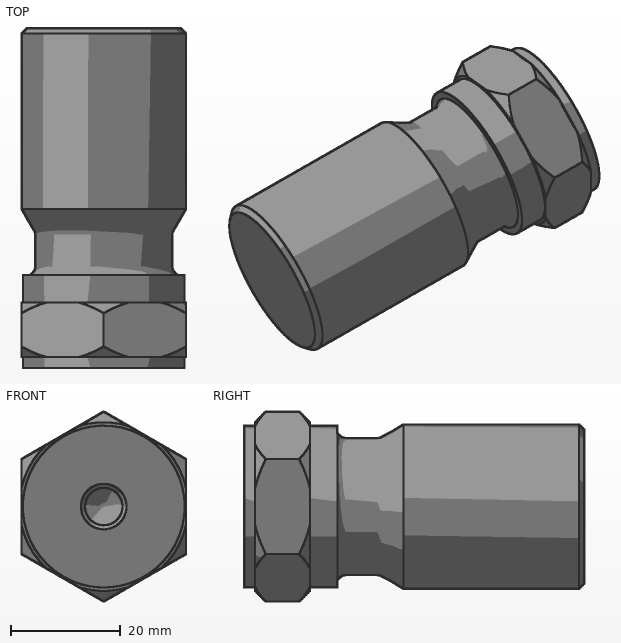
import cadquery as cq
import math

length = 62.0
barrel_radius = 15.0
barrel_start = 29.0
barrel_chamfer = 1.0
collar_radius = 14.75
collar_end = 17.0

neck_radius = 12.5
neck_blend_radius = 1.5
neck_flare_length = 1.5
flare_angle = math.radians(45)
cone_angle = math.radians(30)

hex_across_flats = 2 * barrel_radius
hex_start = 2.0
hex_width = 10.0
hex_face_radius = 15.4

hole_radius = 3.4
hole_rim_radius = 4.15
hole_depth = 15.5
drill_half_angle = math.radians(59)


def revolve_profile(profile):
    """Turn a closed (radius, Y) profile about the Y axis."""
    return profile.close().revolve(360, (0, 0, 0), (0, 1, 0))


def blend_offsets(angle):
    """Return the radial and axial reach of a neck blend arc sweeping the given angle."""
    return neck_blend_radius * (1 - math.cos(angle)), neck_blend_radius * math.sin(angle)


def make_body():
    flare_rise, flare_run = blend_offsets(flare_angle)
    flare_mid_rise, flare_mid_run = blend_offsets(flare_angle / 2)
    cone_rise, cone_run = blend_offsets(cone_angle)
    cone_mid_rise, cone_mid_run = blend_offsets(cone_angle / 2)

    neck_start = collar_end + neck_flare_length
    flare_top = neck_start - flare_run
    flare_foot_radius = neck_radius + flare_rise + (flare_top - collar_end) * math.tan(flare_angle)
    cone_base_radius = neck_radius + cone_rise
    cone_base = barrel_start - (barrel_radius - cone_base_radius) / math.tan(cone_angle)
    neck_end = cone_base - cone_run

    return revolve_profile(
        cq.Workplane("XY")
        .moveTo(0, 0)
        .lineTo(collar_radius, 0)
        .lineTo(collar_radius, collar_end)
        .lineTo(flare_foot_radius, collar_end)
        .lineTo(neck_radius + flare_rise, flare_top)
        .threePointArc((neck_radius + flare_mid_rise, neck_start - flare_mid_run), (neck_radius, neck_start))
        .lineTo(neck_radius, neck_end)
        .threePointArc((neck_radius + cone_mid_rise, neck_end + cone_mid_run), (cone_base_radius, cone_base))
        .lineTo(barrel_radius, barrel_start)
        .lineTo(barrel_radius, length - barrel_chamfer)
        .lineTo(barrel_radius - barrel_chamfer, length)
        .lineTo(0, length)
    )


def make_hex():
    """Hexagon with corners up and down, its corners trimmed by 45 degree cones at both ends."""
    corner_radius = hex_across_flats / math.sqrt(3)
    chamfer = corner_radius - hex_face_radius
    hex_end = hex_start + hex_width
    prism = (
        cq.Workplane("XZ", origin=(0, hex_start, 0))
        .polygon(6, 2 * corner_radius)
        .extrude(-hex_width)
        .rotate((0, 0, 0), (0, 1, 0), 90)
    )
    envelope = revolve_profile(
        cq.Workplane("XY")
        .moveTo(0, hex_start)
        .lineTo(hex_face_radius, hex_start)
        .lineTo(corner_radius, hex_start + chamfer)
        .lineTo(corner_radius, hex_end - chamfer)
        .lineTo(hex_face_radius, hex_end)
        .lineTo(0, hex_end)
    )
    return prism.intersect(envelope)


def make_hole():
    """Drilled hole with a 45 degree rim and a conical bottom."""
    rim_depth = hole_rim_radius - hole_radius
    tip_depth = hole_depth + hole_radius / math.tan(drill_half_angle)
    return revolve_profile(
        cq.Workplane("XY")
        .moveTo(0, 0)
        .lineTo(hole_rim_radius, 0)
        .lineTo(hole_radius, rim_depth)
        .lineTo(hole_radius, hole_depth)
        .lineTo(0, tip_depth)
    )


result = make_body().union(make_hex()).cut(make_hole())